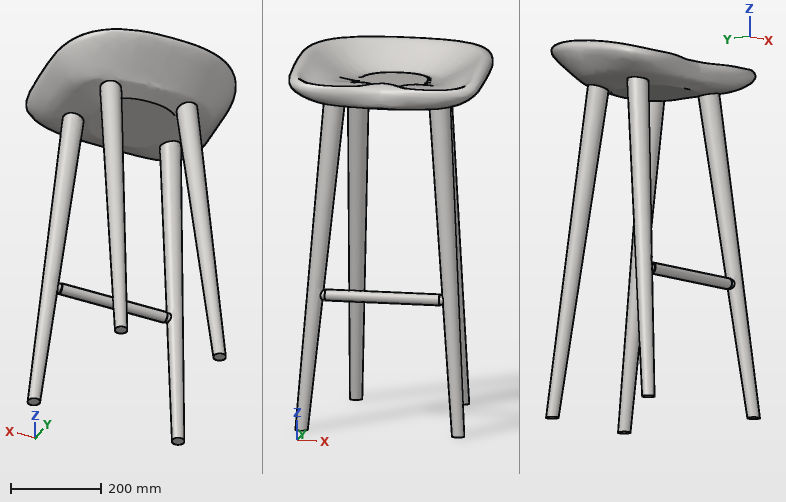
import cadquery as cq
import math


FOOT_RADIUS = 14.0
NECK_RADIUS = 23.5
NECK_Z = 719.0
LEG_TOP_Z = 738.0
FOOT_Y = 165.8
FRONT_FOOT_X = 176.6
FRONT_NECK_X = 119.7
FRONT_NECK_Y = -85.5
REAR_FOOT_X = 120.6
REAR_NECK_X = 93.6
REAR_NECK_Y = 56.6
FLOOR_SIZE = 1000.0
FLOOR_DEPTH = 100.0

ROD_Z = 299.6
ROD_RADIUS = 11.0
SLEEVE_RADIUS = 12.7
SLEEVE_LENGTH = 259.0
SLEEVE_CHAMFER = 1.2

SEAT_WIDTH = 435.45
REAR_CREST_Z = 823.5
SEAT_BOTTOM_Z = 722.5
DISH_FLOOR_Z = 766.0
WIDEST_Y = -16.0
POMMEL_HALF_WIDTH = 110.0
POINTS_PER_HALF = 16


def blend_height(y, rear, front, rear_z, side_z, front_z):
    """Height of a parabola over Y through the rear, widest and front points."""
    u = (y - WIDEST_Y) / (rear - WIDEST_Y)
    v = (front - WIDEST_Y) / (rear - WIDEST_Y)
    rise_rear = rear_z - side_z
    rise_front = front_z - side_z
    curve = (rise_front - rise_rear * v) / (v * v - v)
    return side_z + (rise_rear - curve) * u + curve * u * u


def seat_ring(half_width, rear, front, heights, rear_power, front_power, notch=0.0, lift=0.0):
    """Closed ring round the seat: a superellipse in plan, squarer at the front.

    `rear` and `front` are its Y limits, `heights` its Z at the rear, the widest place and
    the front, and the powers set how square its two ends are.
    `notch` moves the middle of the front edge back, and `lift` raises it.
    """
    points = []
    for i in range(POINTS_PER_HALF + 1):
        angle = math.pi * (0.5 - i / POINTS_PER_HALF)
        at_front = angle < 0
        depth = WIDEST_Y - front if at_front else rear - WIDEST_Y
        power = front_power if at_front else rear_power
        along_x = abs(math.cos(angle) / half_width) ** power
        along_y = abs(math.sin(angle) / depth) ** power
        radius = (along_x + along_y) ** (-1.0 / power)
        x = radius * math.cos(angle)
        y = WIDEST_Y + radius * math.sin(angle)
        z = blend_height(y, rear, front, *heights)
        if at_front and x < POMMEL_HALF_WIDTH:
            swell = math.cos(math.pi * x / (2 * POMMEL_HALF_WIDTH)) ** 2
            y += notch * swell
            z += lift * swell
        points.append(cq.Vector(x, y, z))
    points[0].x = points[-1].x = 0.0
    steps = [i / POINTS_PER_HALF for i in range(POINTS_PER_HALF + 1)]
    right = cq.Edge.makeSpline(points, parameters=steps)
    mirrored = [cq.Vector(-p.x, p.y, p.z) for p in reversed(points)]
    left = cq.Edge.makeSpline(mirrored, parameters=steps)
    return cq.Wire.assembleEdges([right, left])


def make_seat():
    """One smooth skin from the flat underside, out and over the rim, down to the dish floor."""
    half_width = SEAT_WIDTH / 2
    underside = [
        seat_ring(92, 58, -118, (SEAT_BOTTOM_Z, SEAT_BOTTOM_Z, SEAT_BOTTOM_Z), 2.3, 3),
        seat_ring(168, 98, -152, (739, 741, 732), 2.4, 4),
        seat_ring(197, 130, -169, (768, 763, 747), 2.5, 5.5, notch=5),
    ]
    rim = [
        seat_ring(half_width, 175.5, -173.5, (811, 798, 768), 2.5, 6, notch=12),
        seat_ring(204, 167, -168, (REAR_CREST_Z, 815, 781), 2.5, 6, notch=17, lift=-3),
        seat_ring(184, 149, -160, (817, 808, 772), 2.5, 7, notch=26, lift=12),
    ]
    dish = [
        seat_ring(137, 112, -124, (785, 780, 768), 2.5, 3.5, notch=10, lift=6),
        seat_ring(75, 67, -80, (DISH_FLOOR_Z, DISH_FLOOR_Z, DISH_FLOOR_Z), 2.4, 2.4),
    ]
    skin = cq.occ_impl.shapes.loft(
        underside + rim + dish, cap=True, continuity="C2", parametrization="uniform"
    )
    return cq.Workplane(skin)


def make_leg(foot, neck):
    """Tapered leg with a straight neck into the seat, its foot cut flat on the floor."""
    axis = neck - foot
    direction = axis.normalized()
    taper = (NECK_RADIUS - FOOT_RADIUS) / axis.Length
    overrun = 2 * FOOT_RADIUS
    cone = cq.Solid.makeCone(
        FOOT_RADIUS - taper * overrun, NECK_RADIUS, axis.Length + overrun,
        foot - direction * overrun, direction,
    )
    neck_length = (LEG_TOP_Z - NECK_Z) / direction.z
    stub = cq.Solid.makeCylinder(NECK_RADIUS, neck_length, neck, direction)
    below_floor = cq.Workplane().box(FLOOR_SIZE, FLOOR_SIZE, FLOOR_DEPTH, centered=(True, True, False))
    below_floor = below_floor.translate((0, 0, -FLOOR_DEPTH))
    return cq.Workplane(cone).union(cq.Workplane(stub)).cut(below_floor)


def cylinder_along_x(radius, length, y, z):
    end_plane = cq.Plane(origin=(-length / 2, y, z), xDir=(0, -1, 0), normal=(1, 0, 0))
    return cq.Workplane(end_plane).circle(radius).extrude(length)


rod_share = ROD_Z / NECK_Z
rod_y = -FOOT_Y + rod_share * (FRONT_NECK_Y + FOOT_Y)
rod_length = 2 * (FRONT_FOOT_X + rod_share * (FRONT_NECK_X - FRONT_FOOT_X))
foot_rod = cylinder_along_x(ROD_RADIUS, rod_length, rod_y, ROD_Z)

sleeve = cylinder_along_x(SLEEVE_RADIUS, SLEEVE_LENGTH, rod_y, ROD_Z)
sleeve = sleeve.faces("<X or >X").chamfer(SLEEVE_CHAMFER).cut(foot_rod)

frame = make_seat()
for side in (-1, 1):
    front_foot = cq.Vector(side * FRONT_FOOT_X, -FOOT_Y, 0)
    front_neck = cq.Vector(side * FRONT_NECK_X, FRONT_NECK_Y, NECK_Z)
    rear_foot = cq.Vector(side * REAR_FOOT_X, FOOT_Y, 0)
    rear_neck = cq.Vector(side * REAR_NECK_X, REAR_NECK_Y, NECK_Z)
    frame = frame.union(make_leg(front_foot, front_neck))
    frame = frame.union(make_leg(rear_foot, rear_neck))
frame = frame.cut(foot_rod)

result = cq.Compound.makeCompound([frame.val(), foot_rod.val(), sleeve.val()])